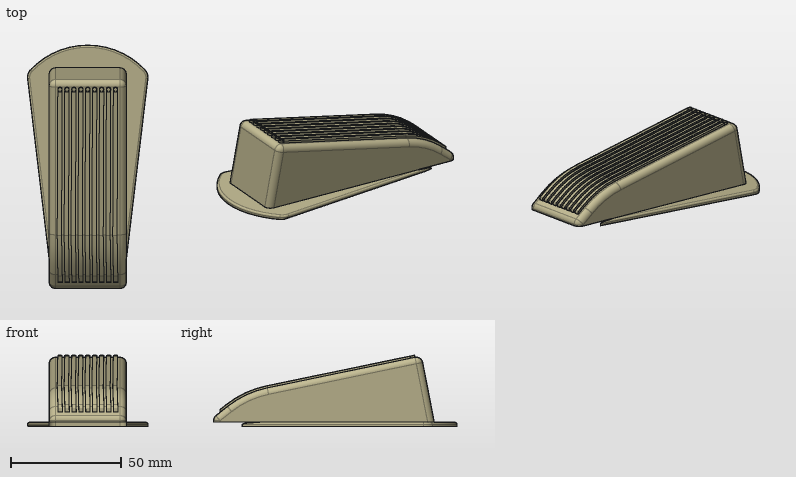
import cadquery as cq
import math

length = 110.3

plate_thickness = 2.0
plate_side_taper = 6.8
plate_tip_y = 13.0
plate_corner_y = 97.3
plate_start_y = 3.3
plate_corner_radius = 5.0
plate_edge_round = plate_thickness / 2

wedge_width = 35.0
wedge_edge_round = 3.0
wedge_back_y = 100.0
wedge_back_lean = 11.0
ramp_angle = 11.7
nose_angle = 38.3
bend_start = (24.4, 17.5)
bend_radius = 43.2

rib_count = 9
rib_span = 25.1
rib_pitch = rib_span / (rib_count - 1)
rib_width = 2.0
rib_height = 1.0
post_gap = 0.05
rib_front_y = 3.1
rib_ramp_drift = -0.28
rib_bend_drift = 0.36


quarter_turn = 90


def direction(angle):
    """Unit (y, z) vector running up a slope of the given angle."""
    return math.cos(math.radians(angle)), math.sin(math.radians(angle))


def normal(angle):
    """Unit (y, z) vector pointing out of a slope of the given angle."""
    along_y, along_z = direction(angle)
    return -along_z, along_y


def shift(point, vector, distance):
    return point[0] + vector[0] * distance, point[1] + vector[1] * distance


bend_centre = shift(bend_start, normal(ramp_angle), -bend_radius)
bend_middle_angle = (ramp_angle + nose_angle) / 2


def bend_point(angle, height=0.0):
    """Point on the bend where the slope has this angle, raised by height."""
    return shift(bend_centre, normal(angle), bend_radius + height)


def nose_point(y):
    """Point at y on the straight ramp at the nose."""
    bend_end = bend_point(nose_angle)
    return y, bend_end[1] - (bend_end[0] - y) * math.tan(math.radians(nose_angle))


back_lean_tan = math.tan(math.radians(wedge_back_lean))
ramp_tan = math.tan(math.radians(ramp_angle))
ramp_height_at_back = bend_start[1] + (wedge_back_y - bend_start[0]) * ramp_tan
back_rise = (ramp_height_at_back - plate_thickness) / (1 + back_lean_tan * ramp_tan)
wedge_top_corner = (wedge_back_y - back_rise * back_lean_tan, plate_thickness + back_rise)

corner_turn = math.radians(quarter_turn - wedge_back_lean + ramp_angle)
ramp_top = shift(wedge_top_corner, direction(ramp_angle), -wedge_edge_round * math.tan(corner_turn / 2))


def plate_half_width(y):
    """Half width of the plate between its straight sides at y."""
    return wedge_width / 2 + (y - plate_tip_y) * math.tan(math.radians(plate_side_taper))


def make_plate_outline():
    """Plate with tapered sides, an arc at the back and a rounded upper edge."""
    front_half_width = plate_half_width(plate_start_y)
    corner_half_width = plate_half_width(plate_corner_y)
    outline = (
        cq.Workplane("XY")
        .moveTo(-front_half_width, plate_start_y)
        .lineTo(front_half_width, plate_start_y)
        .lineTo(corner_half_width, plate_corner_y)
        .threePointArc((0, length), (-corner_half_width, plate_corner_y))
        .close()
        .extrude(plate_thickness)
    )
    outline = outline.edges("|Z and (not <Y)").fillet(plate_corner_radius)
    return outline.faces(">Z").edges("not <Y").fillet(plate_edge_round)


def make_side_rounding():
    """Tapered slab, longer than the plate, whose lower edge on the -X side is rounded."""
    front_half_width = plate_half_width(plate_start_y)
    back_half_width = plate_half_width(length)
    slab = (
        cq.Workplane("XY")
        .polyline([
            (-front_half_width, plate_start_y),
            (front_half_width, plate_start_y),
            (back_half_width, length),
            (-back_half_width, length),
        ])
        .close()
        .extrude(plate_thickness)
    )
    return slab.faces("<Z").edges("<X").fillet(plate_edge_round)


def make_plate():
    """U-shaped plate: the outline of the wedge's foot is cut out of it."""
    foot = (
        cq.Workplane("XY")
        .center(0, wedge_back_y / 2)
        .rect(wedge_width, wedge_back_y)
        .extrude(plate_thickness)
        .edges("|Z")
        .fillet(wedge_edge_round)
    )
    return make_plate_outline().intersect(make_side_rounding()).cut(foot)


def make_wedge_block():
    block = (
        cq.Workplane("YZ", origin=(-wedge_width / 2, 0, 0))
        .moveTo(0, plate_thickness)
        .lineTo(*nose_point(0))
        .lineTo(*bend_point(nose_angle))
        .threePointArc(bend_point(bend_middle_angle), bend_start)
        .lineTo(*wedge_top_corner)
        .lineTo(wedge_back_y, plate_thickness)
        .close()
        .extrude(wedge_width)
    )
    return block.edges("not <Z").fillet(wedge_edge_round)


def make_rib(x):
    """One rib following the ramp, with a rounded nose end and a round post at its upper end."""
    foot = nose_point(rib_front_y)
    crown = shift(shift(foot, direction(nose_angle), rib_height), normal(nose_angle), rib_height)
    round_centre = shift(foot, direction(nose_angle), rib_height)
    round_middle = shift(round_centre, normal(nose_angle + quarter_turn / 2), rib_height)
    upper_end = shift(ramp_top, direction(ramp_angle), -rib_width - post_gap)
    band = (
        cq.Workplane("YZ", origin=(x - rib_pitch, 0, 0))
        .moveTo(*foot)
        .threePointArc(round_middle, crown)
        .lineTo(*bend_point(nose_angle, rib_height))
        .threePointArc(bend_point(bend_middle_angle, rib_height), bend_point(ramp_angle, rib_height))
        .lineTo(*shift(upper_end, normal(ramp_angle), rib_height))
        .lineTo(*upper_end)
        .lineTo(*bend_start)
        .threePointArc(bend_point(bend_middle_angle), bend_point(nose_angle))
        .close()
        .extrude(2 * rib_pitch)
    )
    centre_line = [
        (x, length),
        (x, ramp_top[0]),
        (x + rib_ramp_drift, bend_start[0]),
        (x + rib_ramp_drift + rib_bend_drift, rib_front_y),
        (x + rib_ramp_drift + rib_bend_drift, 0),
    ]
    left_side = [(px - rib_width / 2, py) for px, py in centre_line]
    right_side = [(px + rib_width / 2, py) for px, py in reversed(centre_line)]
    footprint = cq.Workplane("XY").polyline(left_side + right_side).close().extrude(length)

    post_foot = shift(ramp_top, direction(ramp_angle), -rib_width / 2)
    post_axis = cq.Vector(0, *normal(ramp_angle))
    post = cq.Solid.makeCylinder(rib_width / 2, rib_height, cq.Vector(x, *post_foot), post_axis)
    return band.intersect(footprint).union(cq.Workplane(post))


def make_wedge():
    wedge = make_wedge_block()
    for index in range(rib_count):
        x = index * rib_pitch - rib_span / 2
        wedge = wedge.union(make_rib(x))
    return wedge


plate = make_plate()
wedge = make_wedge()
result = cq.Compound.makeCompound([plate.val(), wedge.val()])